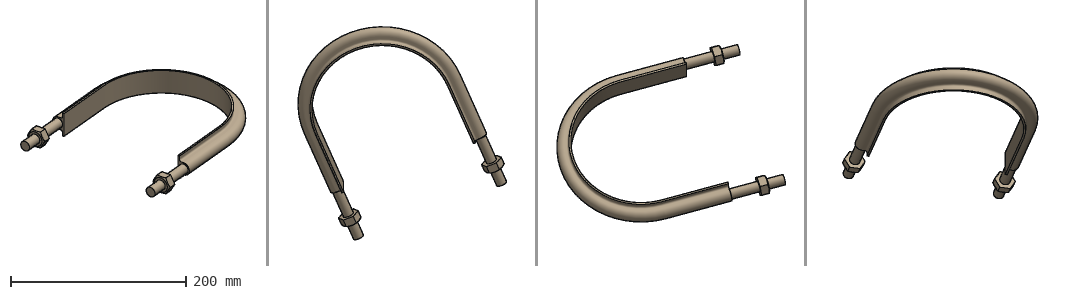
import cadquery as cq
import math

total_length = 240.0
total_width = 201.2

rod_diameter = 12.5

nut_corner_diameter = 24.5
nut_thickness = 10.5
nut_chamfer_diameter = 18.5
nut_chamfer_angle = 30.0
nut_end_distance = 20.0

sleeve_diameter = 16.0
band_height = 30.0
band_thickness = 2.5
band_inner_radius = 80.2
liner_end_distance = 64.5
band_fillet = 2.2

leg_offset = (total_width - nut_corner_diameter) / 2
sleeve_radius = sleeve_diameter / 2
band_outer_radius = band_inner_radius + band_thickness
bend_center_y = total_length / 2 - leg_offset - sleeve_radius
rod_tip_y = -total_length / 2
liner_end_y = rod_tip_y + liner_end_distance
nut_face_y = rod_tip_y + nut_end_distance


def u_path(start_y):
    """Centre line of the U: leg, half-circle bend, leg."""
    return (
        cq.Workplane("XY")
        .moveTo(-leg_offset, start_y)
        .lineTo(-leg_offset, bend_center_y)
        .threePointArc((0, bend_center_y + leg_offset), (leg_offset, bend_center_y))
        .lineTo(leg_offset, start_y)
    )


def leg_plane(y):
    """Section plane across the left leg: local x is +X, local y is +Z."""
    return cq.Plane(origin=(-leg_offset, y, 0), xDir=(1, 0, 0), normal=(0, -1, 0))


def make_rod():
    section = cq.Workplane(leg_plane(rod_tip_y)).circle(rod_diameter / 2)
    return section.sweep(u_path(rod_tip_y))


def make_liner():
    """Sleeve and band swept as one section, with a channel that holds the rod."""
    band_inner_x = leg_offset - band_inner_radius
    band_outer_x = leg_offset - band_outer_radius
    half_height = band_height / 2
    fillet_x = band_outer_x - band_fillet
    fillet_z = sleeve_radius + band_fillet
    fillet_mid_x = fillet_x + band_fillet * math.sin(math.pi / 4)
    fillet_mid_z = fillet_z - band_fillet * math.cos(math.pi / 4)
    section = (
        cq.Workplane(leg_plane(liner_end_y))
        .moveTo(band_inner_x, -half_height)
        .lineTo(band_inner_x, half_height)
        .lineTo(band_outer_x, half_height)
        .lineTo(band_outer_x, fillet_z)
        .threePointArc((fillet_mid_x, fillet_mid_z), (fillet_x, sleeve_radius))
        .lineTo(0, sleeve_radius)
        .threePointArc((-sleeve_radius, 0), (0, -sleeve_radius))
        .lineTo(fillet_x, -sleeve_radius)
        .threePointArc((fillet_mid_x, -fillet_mid_z), (band_outer_x, -fillet_z))
        .lineTo(band_outer_x, -half_height)
        .close()
    )
    return section.sweep(u_path(liner_end_y)).cut(make_rod()).solids()


def make_nut(leg_x):
    """Hex nut with corners along X, chamfered on the face toward the rod tip."""
    corner_radius = nut_corner_diameter / 2
    chamfer_radius = nut_chamfer_diameter / 2
    chamfer_depth = (corner_radius - chamfer_radius) * math.tan(math.radians(nut_chamfer_angle))
    nut_back_y = nut_face_y + nut_thickness
    blank = (
        cq.Workplane("XZ", origin=(leg_x, nut_back_y, 0))
        .polygon(6, nut_corner_diameter)
        .circle(rod_diameter / 2)
        .extrude(nut_thickness)
    )
    chamfer_envelope = (
        cq.Workplane("XY", origin=(leg_x, 0, 0))
        .moveTo(0, nut_face_y)
        .lineTo(chamfer_radius, nut_face_y)
        .lineTo(corner_radius, nut_face_y + chamfer_depth)
        .lineTo(corner_radius, nut_back_y)
        .lineTo(0, nut_back_y)
        .close()
        .revolve(360, (0, 0, 0), (0, 1, 0))
    )
    return blank.intersect(chamfer_envelope).solids()


rod = make_rod()
liner = make_liner()
nuts = [make_nut(leg_x) for leg_x in (-leg_offset, leg_offset)]

result = cq.Compound.makeCompound([rod.val(), liner.val(), *[nut.val() for nut in nuts]])